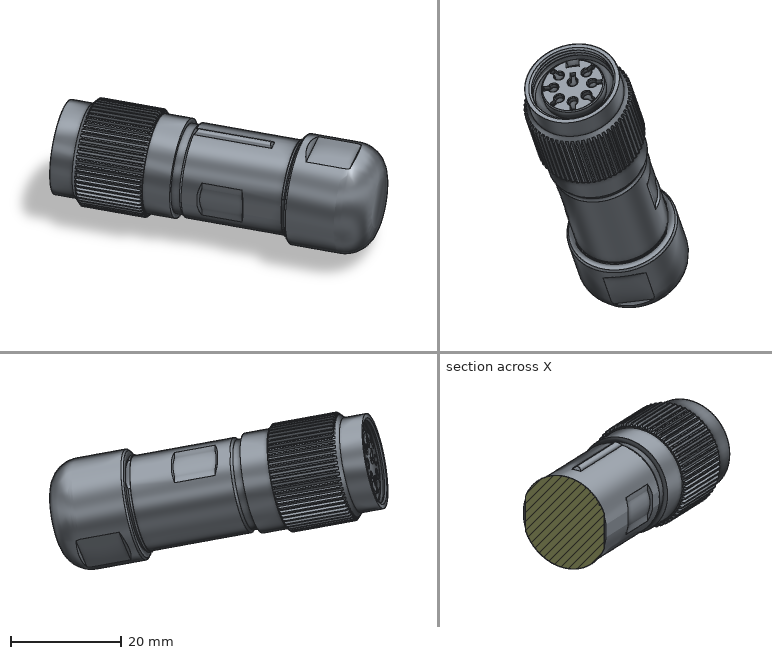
import cadquery as cq

LENGTH = 59.8

MOUTH_RADIUS = 17.6 / 2
KNURL_FRONT = 4.25
KNURL_BACK = 17.7
KNURL_RADIUS = 20.05 / 2
KNURL_BACK_CHAMFER = 0.5
KNURL_DEPTH = 0.55
KNURL_COUNT = 60
VALLEY_TOP_WIDTH = 0.8
VALLEY_FLOOR_WIDTH = 0.5
SHOULDER_RADIUS = 18.5 / 2
SHOULDER_BACK = 22.85

NECK_RADIUS = 16.7 / 2
BODY_FRONT = 24.45
BODY_RADIUS = 17.6 / 2
BODY_BACK = 43.8
BODY_SIDE_FLAT = 17.4 / 2

RIB_ROUND_RADIUS = 1.0
RIB_TOP = 9.35
RIB_BACK = 39.7
RIB_BACK_RUN = 0.4

POCKET_FLOOR = 8.0
POCKET_FRONT = 28.6
POCKET_LENGTH = 7.6
FRONT_SLOPE = 1.0
BACK_SLOPE = 0.6
FAR_POCKET_SHIFT = -0.65

COLLAR_RADIUS = 18.0 / 2
COLLAR_SIDE_FLAT = 16.7 / 2
COLLAR_CHAMFER = 0.5

NUT_FRONT = 44.7
NUT_RADIUS = 20.5 / 2
NUT_CHAMFER = 0.35
DOME_RADIUS = 5.55
NUT_FLAT = 9.45
NUT_FLAT_FRONT = 47.15
NUT_FLAT_BACK = 55.35

MOUTH_BORE_RADIUS = 8.0
THREAD_MINOR_RADIUS = 15.2 / 2
THREAD_DEPTH = 0.4
THREAD_PITCH = 0.8
THREAD_START = 0.3
THREAD_TURNS = 3
SEAT_RADIUS = 14.7 / 2
SEAT_DEPTH = 2.75

INSERT_RADIUS = 11.7 / 2
INSERT_FRONT = 0.6
INSERT_CHAMFER = 0.25
KEYWAY_WIDTH = 2.4
KEYWAY_FLOOR = 4.2
KEYWAY_LENGTH = 1.9
CONTACT_RADIUS = 0.85
CONTACT_MOUTH_RADIUS = 1.0
CONTACT_COUNTERSINK = 0.2
CONTACT_DEPTH = 1.1
CONTACT_SLOT_WIDTH = 0.95
CONTACT_CIRCLE_RADIUS = 3.6
CONTACT_SLOT_END = 5.4
CONTACT_COUNT = 8
CENTRE_CONTACT_HEIGHT = 0.8
CENTRE_SLOT_END = 2.8

CLEARANCE = 1.8


def x_cylinder(radius, start, end):
    return cq.Workplane("YZ", origin=(start, 0, 0)).circle(radius).extrude(end - start)


def x_cone(start, start_radius, end, end_radius):
    profile = [(start, 0), (start, start_radius), (end, end_radius), (end, 0)]
    return cq.Workplane("XY").polyline(profile).close().revolve(360, (0, 0, 0), (1, 0, 0))


def box(x_range, y_range, z_range):
    size = [high - low for low, high in (x_range, y_range, z_range)]
    corner = (x_range[0], y_range[0], z_range[0])
    return cq.Workplane("XY").box(*size, centered=False).translate(corner)


def coupling_ring():
    front_run = KNURL_RADIUS - MOUTH_RADIUS
    profile = [
        (0, 0),
        (0, MOUTH_RADIUS),
        (KNURL_FRONT, MOUTH_RADIUS),
        (KNURL_FRONT + front_run, KNURL_RADIUS),
        (KNURL_BACK - KNURL_BACK_CHAMFER, KNURL_RADIUS),
        (KNURL_BACK, KNURL_RADIUS - KNURL_BACK_CHAMFER),
        (KNURL_BACK, SHOULDER_RADIUS),
        (SHOULDER_BACK, SHOULDER_RADIUS),
        (SHOULDER_BACK, 0),
    ]
    ring = cq.Workplane("XY").polyline(profile).close().revolve(360, (0, 0, 0), (1, 0, 0))

    floor_radius = KNURL_RADIUS - KNURL_DEPTH
    half_top = VALLEY_TOP_WIDTH / 2
    half_floor = VALLEY_FLOOR_WIDTH / 2
    valley_profile = [
        (-half_floor, floor_radius),
        (half_floor, floor_radius),
        (half_top, KNURL_RADIUS),
        (half_top, KNURL_RADIUS + CLEARANCE),
        (-half_top, KNURL_RADIUS + CLEARANCE),
        (-half_top, KNURL_RADIUS),
    ]
    valley = (
        cq.Workplane("YZ", origin=(KNURL_FRONT, 0, 0))
        .polyline(valley_profile)
        .close()
        .extrude(KNURL_BACK - KNURL_FRONT)
        .val()
    )
    pitch_angle = 360 / KNURL_COUNT
    valleys = [valley.rotate((0, 0, 0), (1, 0, 0), i * pitch_angle) for i in range(KNURL_COUNT)]
    return ring.cut(cq.Workplane(cq.Compound.makeCompound(valleys)))


def body_front_cone(radius):
    """45 degree cone that starts on the neck and trims the front of the body and its rib."""
    run = radius - NECK_RADIUS
    cone = x_cone(BODY_FRONT, NECK_RADIUS, BODY_FRONT + run, radius)
    return cone.union(x_cylinder(radius, BODY_FRONT + run, BODY_BACK))


def rib():
    bar = (
        cq.Workplane("YZ", origin=(BODY_FRONT, 0, RIB_TOP - RIB_ROUND_RADIUS))
        .circle(RIB_ROUND_RADIUS)
        .extrude(RIB_BACK - BODY_FRONT)
    )
    slope_start = RIB_BACK - RIB_BACK_RUN
    back_cone = x_cone(slope_start, RIB_TOP, RIB_BACK, BODY_RADIUS)
    envelope = x_cylinder(RIB_TOP, BODY_FRONT, slope_start).union(back_cone)
    return bar.intersect(envelope).intersect(body_front_cone(RIB_TOP))


def recess_outline(front, back, floor):
    """Points of a recess side view: a floor at the given height between outward-sloping ends."""
    top = floor + CLEARANCE
    return [
        (front, floor),
        (back, floor),
        (back + CLEARANCE * BACK_SLOPE, top),
        (front - CLEARANCE * FRONT_SLOPE, top),
    ]


def side_pocket():
    """Cutter for the +Y side: flats above and below a round core, with sloped ends."""
    outline = recess_outline(POCKET_FRONT, POCKET_FRONT + POCKET_LENGTH, POCKET_FLOOR)
    wedge = cq.Workplane("XY").polyline(outline).close().extrude(BODY_RADIUS, both=True)
    return wedge.cut(x_cylinder(NECK_RADIUS, BODY_FRONT, BODY_BACK))


def body():
    shell = body_front_cone(BODY_RADIUS)
    slab = box(
        (BODY_FRONT, BODY_BACK),
        (-BODY_SIDE_FLAT, BODY_SIDE_FLAT),
        (-BODY_RADIUS, BODY_RADIUS),
    )
    shell = shell.intersect(slab).cut(side_pocket().mirror("XZ"))
    shell = shell.cut(side_pocket().translate((FAR_POCKET_SHIFT, 0, 0)))
    return shell.union(rib()).union(x_cylinder(NECK_RADIUS, SHOULDER_BACK, BODY_FRONT))


def collar():
    disc = x_cylinder(COLLAR_RADIUS, BODY_BACK, NUT_FRONT).faces(">X").chamfer(COLLAR_CHAMFER)
    slab = box(
        (BODY_BACK, NUT_FRONT),
        (-COLLAR_SIDE_FLAT, COLLAR_SIDE_FLAT),
        (-COLLAR_RADIUS, COLLAR_RADIUS),
    )
    return disc.intersect(slab)


def clamping_nut():
    nut = x_cylinder(NUT_RADIUS, NUT_FRONT, LENGTH)
    nut = nut.faces(">X").edges().fillet(DOME_RADIUS)
    nut = nut.faces("<X").edges().chamfer(NUT_CHAMFER)
    outline = recess_outline(NUT_FLAT_FRONT, NUT_FLAT_BACK, NUT_FLAT)
    flat = cq.Workplane("XZ").polyline(outline).close().extrude(NUT_RADIUS, both=True)
    return nut.cut(flat).cut(flat.mirror("XY"))


def socket():
    """Bore with ring-shaped thread grooves, stepping down to the seat around the insert."""
    points = [(0, 0), (0, MOUTH_BORE_RADIUS), (THREAD_START, THREAD_MINOR_RADIUS)]
    for turn in range(THREAD_TURNS):
        start = THREAD_START + turn * THREAD_PITCH
        points.append((start + THREAD_PITCH / 2, THREAD_MINOR_RADIUS + THREAD_DEPTH))
        points.append((start + THREAD_PITCH, THREAD_MINOR_RADIUS))
    points += [(SEAT_DEPTH, SEAT_RADIUS), (SEAT_DEPTH, 0)]
    return cq.Workplane("XY").polyline(points).close().revolve(360, (0, 0, 0), (1, 0, 0))


def contact_opening(height, slot_end):
    """Keyhole cutter centred at the given height, its slot running up to slot_end."""
    floor = INSERT_FRONT + CONTACT_DEPTH
    hole = x_cylinder(CONTACT_RADIUS, INSERT_FRONT, floor)
    mouth = x_cone(
        INSERT_FRONT,
        CONTACT_MOUTH_RADIUS,
        INSERT_FRONT + CONTACT_COUNTERSINK,
        CONTACT_RADIUS,
    )
    half_slot = CONTACT_SLOT_WIDTH / 2
    slot = box((INSERT_FRONT, floor), (-half_slot, half_slot), (height, slot_end))
    return hole.union(mouth).translate((0, 0, height)).union(slot)


def contact_insert():
    insert = x_cylinder(INSERT_RADIUS, INSERT_FRONT, SEAT_DEPTH).faces("<X").chamfer(INSERT_CHAMFER)
    keyway = box(
        (INSERT_FRONT, INSERT_FRONT + KEYWAY_LENGTH),
        (-KEYWAY_WIDTH / 2, KEYWAY_WIDTH / 2),
        (KEYWAY_FLOOR, INSERT_RADIUS),
    )
    insert = insert.cut(keyway)
    opening = contact_opening(CONTACT_CIRCLE_RADIUS, CONTACT_SLOT_END)
    for position in range(1, CONTACT_COUNT):
        angle = position * 360 / CONTACT_COUNT
        insert = insert.cut(opening.rotate((0, 0, 0), (1, 0, 0), angle))
    return insert.cut(contact_opening(CENTRE_CONTACT_HEIGHT, CENTRE_SLOT_END))


result = (
    coupling_ring()
    .cut(socket())
    .union(contact_insert())
    .union(body())
    .union(collar())
    .union(clamping_nut())
)